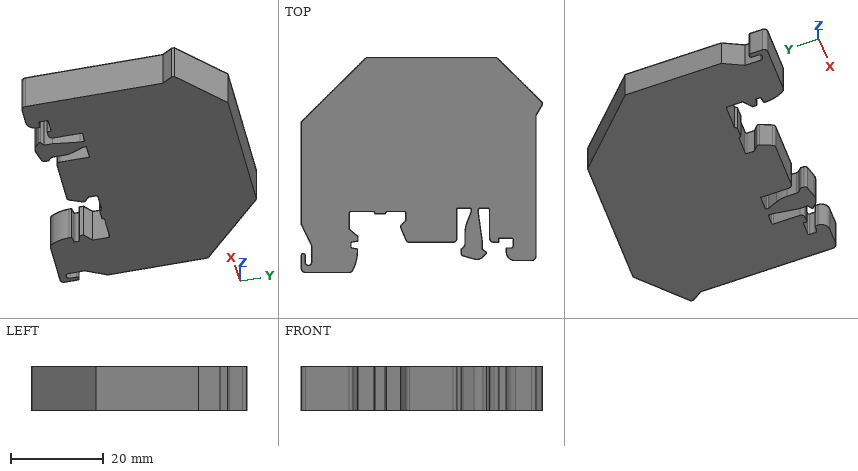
import cadquery as cq
import math

length = 51.9
height = 46.3
thickness = 9.5

right_edge = 50.55
block_bottom = 6.5
sharp = 0
small_round = 0.3

finger_width = 0.9
finger_top = 4.1
foot_left = 2.25
hook_bottom = 1.55
hook_round = 0.49 * (foot_left - finger_width)
finger_round = 0.49 * finger_width
foot_corner_round = 0.9
foot_side = 12.15
foot_side_round = 8.3
foot_toe_round = 0.85

recess_left = 10.4
recess_right = 22.5
recess_top = 13.15
bump_left = 15.65
bump_right = 18.4
bump_depth = 0.5
bump_slope = 0.3
left_nose = 12.25
notch_left = 10.75
right_nose = 21.3
nose_round = 0.6
block_round = 0.85

pocket_left = 33.55
pocket_right = 40.55
pocket_top = 13.8
tongue_root_left = 36.6
tongue_root_right = 38.15
tongue_left = 35.25
tongue_right = 39.0
tongue_head_left = 34.4
tongue_head_right = 40.05
tongue_bend_round = 6.75
tongue_tip_round = 1.95

slot_left = 42.6
slot_right = 45.65
slot_top = 7.35
slot_bottom = 5.3
toe_left = 44.15
right_foot_bottom = 2.55
toe_round = 1.95
right_foot_round = 1.0


left_foot = [
    (0, 10.4, sharp),
    (foot_left, 5.75, sharp),
    (foot_left, hook_bottom, hook_round),
    (finger_width, hook_bottom, hook_round),
    (finger_width, finger_top, finger_round),
    (0, finger_top, finger_round),
    (0, 0, foot_corner_round),
    (10.85, 0, foot_toe_round),
    (foot_side, 2.6, foot_side_round),
    (foot_side, 5.1, sharp),
]

rail_recess = [
    (notch_left, 5.35, 0.15),
    (notch_left, block_bottom, 0.15),
    (left_nose, 6.75, 0.15),
    (left_nose, 7.75, sharp),
    (recess_left, 9.35, sharp),
    (recess_left, recess_top, small_round),
    (bump_left, recess_top, sharp),
    (bump_left + bump_slope, recess_top - bump_depth, sharp),
    (bump_right - bump_slope, recess_top - bump_depth, sharp),
    (bump_right, recess_top, sharp),
    (recess_right, recess_top, small_round),
    (recess_right, 11.15, sharp),
    (right_nose, 9.95, nose_round),
    (22.75, block_bottom, block_round),
]

tongue_pocket = [
    (pocket_left, block_bottom, block_round),
    (pocket_left, pocket_top, sharp),
    (tongue_root_left, pocket_top, 0.15),
    (tongue_root_left, 13.1, small_round),
    (tongue_left, 9.75, tongue_bend_round),
    (tongue_left, 5.75, 1.05),
    (tongue_head_left, 5.0, 0.15),
    (tongue_head_left, 3.7, nose_round),
    (38.35, 2.55, tongue_tip_round),
    (tongue_head_right, 4.25, 0.2),
    (tongue_right, 5.05, sharp),
    (tongue_right, 6.9, sharp),
    (tongue_root_right, 12.75, sharp),
    (tongue_root_right, pocket_top, small_round),
    (pocket_right, pocket_top, small_round),
    (pocket_right, block_bottom, 0.95),
]

right_foot = [
    (slot_left, block_bottom, 0.15),
    (slot_left, slot_top, sharp),
    (slot_right, slot_top, small_round),
    (slot_right, slot_bottom, 0.45),
    (toe_left, slot_bottom, 0.15),
    (toe_left, right_foot_bottom, toe_round),
    (right_edge, right_foot_bottom, right_foot_round),
]

upper_body = [
    (right_edge, 33.85, sharp),
    (length, 36.1, sharp),
    (length, 36.65, sharp),
    (42.1, height, sharp),
    (14.0, height, sharp),
    (0, 32.45, sharp),
]


def rounded_corner(before, corner, after):
    """Return the start, middle and end of the arc that rounds a corner."""
    point = cq.Vector(corner[0], corner[1])
    radius = corner[2]
    toward_before = (cq.Vector(before[0], before[1]) - point).normalized()
    toward_after = (cq.Vector(after[0], after[1]) - point).normalized()
    half_angle = toward_before.getAngle(toward_after) / 2
    tangent_length = radius / math.tan(half_angle)
    bisector = (toward_before + toward_after).normalized()
    start = point + toward_before * tangent_length
    middle = point + bisector * (radius / math.sin(half_angle) - radius)
    end = point + toward_after * tangent_length
    return start.toTuple()[:2], middle.toTuple()[:2], end.toTuple()[:2]


def rounded_outline(corners):
    """Draw a closed outline whose first corner is sharp."""
    outline = cq.Workplane("XY").moveTo(*corners[0][:2])
    for index in range(1, len(corners)):
        corner = corners[index]
        after = corners[(index + 1) % len(corners)]
        if corner[2] == sharp:
            outline = outline.lineTo(*corner[:2])
        else:
            start, middle, end = rounded_corner(corners[index - 1], corner, after)
            outline = outline.lineTo(*start).threePointArc(middle, end)
    return outline.close()


housing_corners = left_foot + rail_recess + tongue_pocket + right_foot + upper_body
result = rounded_outline(housing_corners).extrude(thickness)